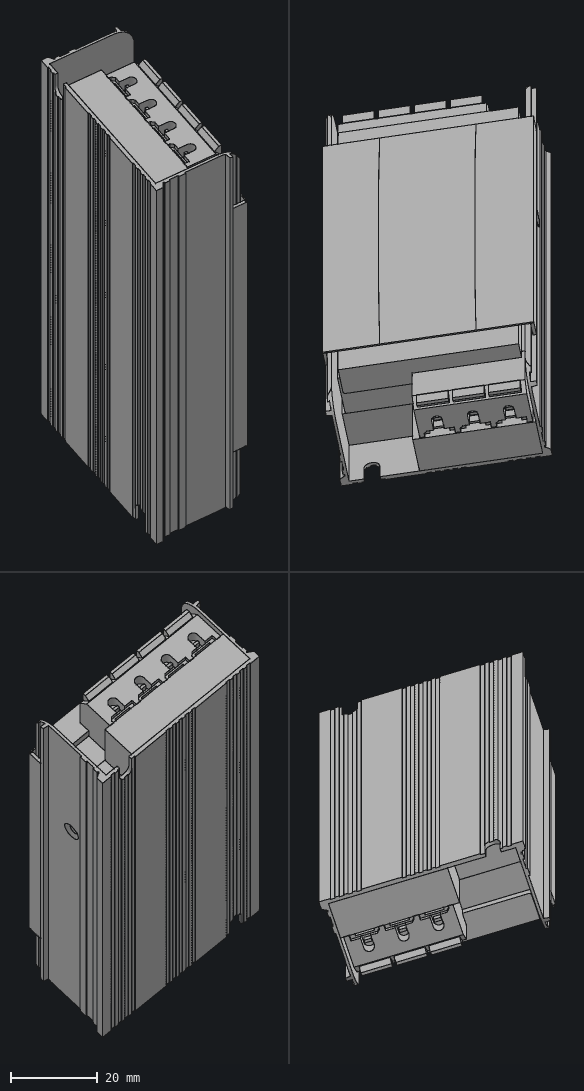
import cadquery as cq

OVERALL_LENGTH = 118.7

HOUSING_LENGTH = 118.0
HOUSING_WIDTH = 49.5
WALL_TOP = 24.2
WALL_OUTER_X = 23.4
WALL_INNER_X = 22.7
FLOOR = 1.1
END_RADIUS = 5.9
FOOT_HEIGHT = 1.9
FOOT_TOP = 2.7
RIB_OUTER_X = 23.7
LOWER_RIB = (3.0, 4.4)
UPPER_RIB = (6.8, 8.7)
LEDGE_TOP = 21.0
LEDGE_EDGE_Y = 20.1
LEDGE_ROOT_Y = 19.8
BARB_OUTER_X = 23.9
BARB_BOTTOM = 22.7
BARB_TOP = 23.5

GROOVE_DEPTH = 0.2
CENTRE_GROOVES = 5
CENTRE_GROOVE_WIDTH = 1.01
SIDE_GROOVES = 4
SIDE_GROOVE_WIDTH = 1.1
SIDE_GROUP_X = 18.2

SLOT_X = 17.3
SLOT_WIDTH = 3.7
SLOT_LENGTH = 6.0
HOLE_Y = 12.0
HOLE_Z = 19.7
HOLE_DIAMETER = 2.4
HOLE_SINK_DIAMETER = 4.6

BASE_TOP = 10.1
RECESS_DEPTH = 14.2
BODY_HALF_WIDTH = 22.0
BODY_TOP = 20.3
LID_HALF_WIDTH = 21.1
LID_BOTTOM = 17.3
LID_OVERHANG = 2.4
LID_CORNER_RADIUS = 0.6

TERMINAL_PITCH = 8.4
TOP_TERMINALS = 4
BOTTOM_TERMINALS = 3
BLOCK_MARGIN = 1.2
BLOCK_END_GAP = 0.4
BLOCK_STEP_X = 1.7
BLOCK_CHAMFER_Y = 18.0
BLOCK_CHAMFER_DROP = 2.5
CAP_WIDTH = 7.5
CAP_TIP_Y = 19.6
CAP_TOP_Y = 20.4
CAP_DROP = 1.4
LAST_TERMINAL_INSET = 4.9
ENTRY_WIDTH = 7.1
ENTRY_TOP = 11.6
ENTRY_DEPTH = 1.2
ENTRY_CHAMFER = 0.7
CLAMP_WIDTH = 4.6
CLAMP_TOP = 11.2
CLAMP_DEPTH = 3.6
KEY_WIDTH = 2.5
KEY_TOP = 15.4
KEY_DEPTH = 3.6
KEY_BAR_BOTTOM = 13.0
KEY_BAR_TOP = 13.8
KEY_BAR_WIDTH = 1.8

COVER_CENTRE_Z = 0.7
SKIRT_LENGTH = 81.2
PLATE_OVERHANG = 0.4
COVER_BOTTOM = 24.6
COVER_EDGE_TOP = 24.9
CROWN_TOP = 26.1
COVER_TOP = 26.5
SKIRT_THICKNESS = 0.8
PLATEAU_WIDTH = 22.5
PLATEAU_LENGTH = 45.1

HALF_LENGTH = HOUSING_LENGTH / 2
HALF_WIDTH = HOUSING_WIDTH / 2
BODY_END = HALF_LENGTH - RECESS_DEPTH
BLOCK_END = HALF_LENGTH - BLOCK_END_GAP


def box(x0, x1, y0, y1, z0, z1):
    return cq.Workplane("XY").box(x1 - x0, y1 - y0, z1 - z0, centered=False).translate((x0, y0, z0))


def side_prism(points, x0, x1):
    """Extrude a (Y, Z) outline from x0 to x1."""
    return cq.Workplane("YZ", origin=(x0, 0, 0)).polyline(points).close().extrude(x1 - x0)


def turned_end_for_end(shape):
    """Turn a shape about the Y axis, so that it serves the -Z end."""
    return shape.rotate((0, 0, 0), (0, 1, 0), 180)


def housing_profile():
    right_side = [
        (HALF_WIDTH, 0),
        (HALF_WIDTH, FOOT_HEIGHT),
        (WALL_OUTER_X, FOOT_TOP),
        (WALL_OUTER_X, LOWER_RIB[0]),
        (RIB_OUTER_X, LOWER_RIB[0]),
        (RIB_OUTER_X, LOWER_RIB[1]),
        (WALL_OUTER_X, LOWER_RIB[1]),
        (WALL_OUTER_X, UPPER_RIB[0]),
        (RIB_OUTER_X, UPPER_RIB[0]),
        (RIB_OUTER_X, UPPER_RIB[1]),
        (WALL_OUTER_X, UPPER_RIB[1]),
        (WALL_OUTER_X, LEDGE_ROOT_Y),
        (HALF_WIDTH, LEDGE_EDGE_Y),
        (HALF_WIDTH, LEDGE_TOP),
        (WALL_OUTER_X, LEDGE_TOP),
        (WALL_OUTER_X, BARB_BOTTOM),
        (BARB_OUTER_X, BARB_BOTTOM),
        (BARB_OUTER_X, BARB_TOP),
        (WALL_INNER_X, WALL_TOP),
        (WALL_INNER_X, FLOOR),
    ]
    left_side = [(-x, y) for x, y in reversed(right_side)]
    return cq.Workplane("XY").polyline(right_side + left_side).close()


def cut_grooves(housing, group_x, count, width):
    """Cut a group of full-length grooves with lands as wide as the grooves between them."""
    first_x = group_x - (2 * count - 1) * width / 2
    for i in range(count):
        x = first_x + 2 * i * width
        housing = housing.cut(box(x, x + width, 0, GROOVE_DEPTH, -HALF_LENGTH, HALF_LENGTH))
    return housing


def mounting_slot():
    """Open-ended slot with a round bottom, at the +Z end."""
    radius = SLOT_WIDTH / 2
    round_z = HALF_LENGTH - SLOT_LENGTH + radius
    straight = box(-SLOT_X - radius, -SLOT_X + radius, 0, FLOOR, round_z, HALF_LENGTH)
    bottom = cq.Workplane("XZ").center(-SLOT_X, round_z).circle(radius).extrude(-FLOOR)
    return straight.union(bottom)


def side_screw_hole():
    """Conical hole through the -X wall, narrowing inwards."""
    wall_thickness = WALL_OUTER_X - WALL_INNER_X
    return (
        cq.Workplane("YZ", origin=(-WALL_OUTER_X, HOLE_Y, HOLE_Z))
        .circle(HOLE_SINK_DIAMETER / 2)
        .workplane(offset=wall_thickness)
        .circle(HOLE_DIAMETER / 2)
        .loft()
    )


def make_housing():
    housing = housing_profile().extrude(HALF_LENGTH, both=True)
    rounded_ends = (
        box(-HALF_WIDTH, HALF_WIDTH, 0, WALL_TOP, -HALF_LENGTH, HALF_LENGTH)
        .edges("|X and >Y")
        .fillet(END_RADIUS)
    )
    housing = housing.intersect(rounded_ends)
    housing = cut_grooves(housing, -SIDE_GROUP_X, SIDE_GROOVES, SIDE_GROOVE_WIDTH)
    housing = cut_grooves(housing, 0, CENTRE_GROOVES, CENTRE_GROOVE_WIDTH)
    housing = cut_grooves(housing, SIDE_GROUP_X, SIDE_GROOVES, SIDE_GROOVE_WIDTH)
    slot = mounting_slot()
    return housing.cut(slot).cut(turned_end_for_end(slot)).cut(side_screw_hole())


def block_start(count):
    """Edge of a terminal block that faces its mounting slot."""
    return BODY_HALF_WIDTH - count * TERMINAL_PITCH - BLOCK_MARGIN


def terminal_cap(x):
    points = [
        (BLOCK_CHAMFER_Y, BLOCK_END - BLOCK_CHAMFER_DROP),
        (BLOCK_CHAMFER_Y, OVERALL_LENGTH / 2 - CAP_DROP),
        (CAP_TIP_Y, OVERALL_LENGTH / 2),
        (CAP_TOP_Y, OVERALL_LENGTH / 2),
        (CAP_TOP_Y, BLOCK_END - BLOCK_CHAMFER_DROP),
    ]
    return side_prism(points, x - CAP_WIDTH / 2, x + CAP_WIDTH / 2)


def terminal_pocket(x):
    """Wire entry with a deeper clamp slot and a round-topped screwdriver opening."""

    def opening(width, bottom, top, depth):
        return box(x - width / 2, x + width / 2, bottom, top, BLOCK_END - depth, BLOCK_END)

    entry = opening(ENTRY_WIDTH, BASE_TOP, ENTRY_TOP, ENTRY_DEPTH)
    entry = entry.edges("|Z and <X and >Y").chamfer(ENTRY_CHAMFER)
    clamp = opening(CLAMP_WIDTH, BASE_TOP, CLAMP_TOP, CLAMP_DEPTH)
    radius = KEY_WIDTH / 2
    key = opening(KEY_WIDTH, ENTRY_TOP, KEY_TOP - radius, KEY_DEPTH)
    key_round = (
        cq.Workplane("XY", origin=(x, KEY_TOP - radius, BLOCK_END)).circle(radius).extrude(-KEY_DEPTH)
    )
    bar = box(
        x - KEY_BAR_WIDTH / 2, x + KEY_BAR_WIDTH / 2, KEY_BAR_BOTTOM, KEY_BAR_TOP,
        BLOCK_END - KEY_DEPTH, BLOCK_END - KEY_DEPTH / 2,
    )
    return entry.union(clamp).union(key.union(key_round).cut(bar))


def make_terminal_block(count):
    """Terminal block for the +Z end."""
    points = [
        (BASE_TOP, BODY_END),
        (BASE_TOP, BLOCK_END),
        (BLOCK_CHAMFER_Y, BLOCK_END),
        (BODY_TOP, BLOCK_END - BLOCK_CHAMFER_DROP),
        (BODY_TOP, BODY_END),
    ]
    block = side_prism(points, block_start(count), BODY_HALF_WIDTH)
    for i in range(count):
        x = BODY_HALF_WIDTH - LAST_TERMINAL_INSET - i * TERMINAL_PITCH
        block = block.union(terminal_cap(x)).cut(terminal_pocket(x))
    return block


def base_recess(count):
    return box(
        -WALL_INNER_X, block_start(count) - BLOCK_STEP_X, FLOOR, BASE_TOP, BODY_END, HALF_LENGTH
    )


def make_base_case():
    base = box(-WALL_INNER_X, WALL_INNER_X, FLOOR, BASE_TOP, -HALF_LENGTH, HALF_LENGTH)
    base = base.cut(base_recess(TOP_TERMINALS))
    return base.cut(turned_end_for_end(base_recess(BOTTOM_TERMINALS)))


def block_space(count):
    return box(block_start(count), BODY_HALF_WIDTH, BASE_TOP, BODY_TOP, BODY_END, HALF_LENGTH)


def make_inner_case():
    lid_end = BODY_END + LID_OVERHANG
    case = box(-BODY_HALF_WIDTH, BODY_HALF_WIDTH, BASE_TOP, BODY_TOP, -BODY_END, BODY_END)
    lid = box(-LID_HALF_WIDTH, LID_HALF_WIDTH, LID_BOTTOM, WALL_TOP, -lid_end, lid_end)
    lid = lid.edges("|Z and <Y").fillet(LID_CORNER_RADIUS)
    case = case.union(lid).cut(block_space(TOP_TERMINALS))
    return case.cut(turned_end_for_end(block_space(BOTTOM_TERMINALS)))


def make_skirts(half_length):
    skirts = box(-HALF_WIDTH, HALF_WIDTH, LEDGE_TOP, COVER_BOTTOM, -half_length, half_length)
    inner_x = HALF_WIDTH - SKIRT_THICKNESS
    return skirts.cut(box(-inner_x, inner_x, LEDGE_TOP, COVER_BOTTOM, -half_length, half_length))


def make_crown(half_length):
    """Shallow roof that slopes to all four edges of the plate."""
    return (
        cq.Workplane("XZ", origin=(0, COVER_EDGE_TOP, 0))
        .rect(HOUSING_WIDTH, 2 * half_length)
        .workplane(offset=COVER_EDGE_TOP - CROWN_TOP)
        .rect(PLATEAU_WIDTH, PLATEAU_LENGTH)
        .loft(ruled=True)
    )


def make_centre_strip(half_length):
    """Raised strip along the middle of the crown, sloping down to both ends."""
    points = [
        (COVER_EDGE_TOP, -half_length),
        (COVER_TOP, -PLATEAU_LENGTH / 2),
        (COVER_TOP, PLATEAU_LENGTH / 2),
        (COVER_EDGE_TOP, half_length),
    ]
    return side_prism(points, -PLATEAU_WIDTH / 2, PLATEAU_WIDTH / 2)


def make_cover():
    skirt_half_length = SKIRT_LENGTH / 2
    half_length = skirt_half_length + PLATE_OVERHANG
    plate = box(-HALF_WIDTH, HALF_WIDTH, COVER_BOTTOM, COVER_EDGE_TOP, -half_length, half_length)
    cover = plate.union(make_skirts(skirt_half_length))
    cover = cover.union(make_crown(half_length)).union(make_centre_strip(half_length))
    return cover.translate((0, 0, COVER_CENTRE_Z))


housing = make_housing()
base_case = make_base_case()
inner_case = make_inner_case()
cover = make_cover()
top_terminals = make_terminal_block(TOP_TERMINALS)
bottom_terminals = turned_end_for_end(make_terminal_block(BOTTOM_TERMINALS))

bodies = [housing, base_case, inner_case, cover, top_terminals, bottom_terminals]
result = cq.Compound.makeCompound([body.val() for body in bodies])